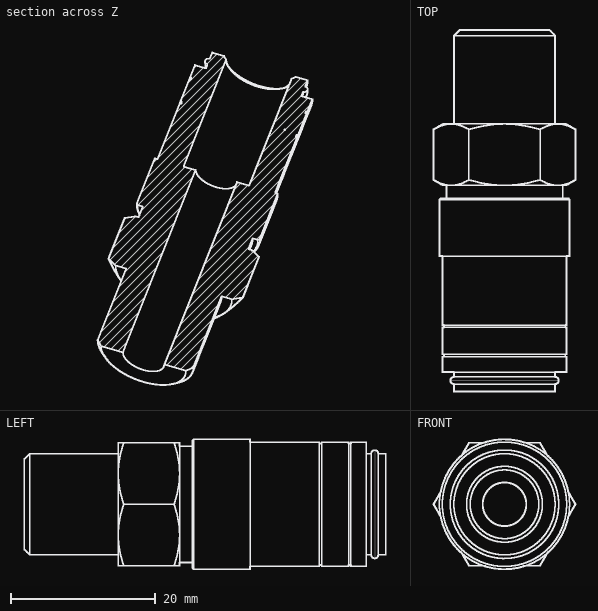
import cadquery as cq
import math

overall_length = 50.0

nose_radius = 7.0
ring_section_radius = 0.5
ring_y = 1.55

body_start = 2.7
body_radius = 8.6
groove_starts = (4.85, 8.9)
groove_width = 0.3
groove_depth = 0.2

band_start = 18.75
band_end = 26.75
band_radius = 9.0
band_chamfer = 0.2

neck_radius = 8.05

hex_start = 28.5
hex_end = 37.0
hex_across_flats = 17.0
hex_across_corners = hex_across_flats / math.cos(math.radians(30))
hex_chamfer_angle = 30.0

shank_radius = 7.0
shank_chamfer = 0.8

through_hole_radius = 3.0
socket_radius = 4.75
socket_mouth_radius = 5.25
socket_mouth_depth = socket_mouth_radius - socket_radius
socket_depth = band_start


def along_y(y):
    """Sketch plane at height y along the axis, facing +Y, with local x on the X axis."""
    return cq.Workplane(cq.Plane(origin=(0, y, 0), xDir=(1, 0, 0), normal=(0, 1, 0)))


def cylinder(radius, start, end):
    return along_y(start).circle(radius).extrude(end - start)


def turned(points):
    """Revolve a closed (radius, y) outline about the Y axis."""
    return cq.Workplane("XY").polyline(points).close().revolve(360, (0, 0, 0), (0, 1, 0))


def make_nose():
    nose = cylinder(nose_radius, 0, body_start)
    ring = (
        cq.Workplane("XY")
        .center(nose_radius, ring_y)
        .circle(ring_section_radius)
        .revolve(360, (-nose_radius, 0, 0), (-nose_radius, 1, 0))
    )
    return nose.union(ring)


def make_body():
    body = cylinder(body_radius, body_start, band_start)
    for start in groove_starts:
        end = start + groove_width
        groove = cylinder(band_radius, start, end).cut(cylinder(body_radius - groove_depth, start, end))
        body = body.cut(groove)
    return body


def make_band():
    return cylinder(band_radius, band_start, band_end).faces(">Y").chamfer(band_chamfer)


def make_hexagon():
    """Hexagon whose corners are trimmed by a cone touching the flats at each end face."""
    blank = along_y(hex_start).polygon(6, hex_across_corners).extrude(hex_end - hex_start)
    face_radius = hex_across_flats / 2
    outer_radius = hex_across_corners / 2
    cone_height = (outer_radius - face_radius) * math.tan(math.radians(hex_chamfer_angle))
    envelope = turned([
        (0, hex_start),
        (face_radius, hex_start),
        (outer_radius, hex_start + cone_height),
        (outer_radius, hex_end - cone_height),
        (face_radius, hex_end),
        (0, hex_end),
    ])
    return blank.intersect(envelope)


def make_shank():
    return cylinder(shank_radius, hex_end, overall_length).faces(">Y").chamfer(shank_chamfer)


def make_bore():
    """Chamfered socket followed by the narrower through hole."""
    return turned([
        (0, 0),
        (socket_mouth_radius, 0),
        (socket_radius, socket_mouth_depth),
        (socket_radius, socket_depth),
        (through_hole_radius, socket_depth),
        (through_hole_radius, overall_length),
        (0, overall_length),
    ])


neck = cylinder(neck_radius, band_end, hex_start)
outside = make_nose().union(make_body()).union(make_band()).union(neck)
outside = outside.union(make_hexagon()).union(make_shank())

result = outside.cut(make_bore())